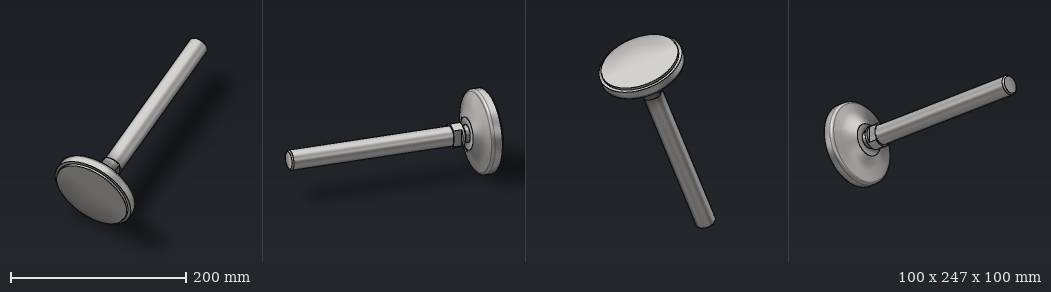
import cadquery as cq
import math

total_length = 247.0

foot_radius = 100.0 / 2
sole_radius = 92.5 / 2
sole_height = 3.0
rim_top = 11.9
shoulder_radius = 3.5
shoulder_end_angle = math.radians(79)
crown_radius = 19.3
crown_height = 26.2

neck_radius = 17.0 / 2
neck_base_radius = 10.5
neck_cone_top = 30.6
collar_radius = 28.0 / 2
collar_bottom = 33.5
flange_thickness = 3.0
across_flats = 20.0

stem_radius = 24.0 / 2
stem_bottom = 47.0
stem_chamfer = 1.7


def make_foot():
    """Revolved foot with a recessed sole, rounded shoulder and a concave flank tangent to it."""
    center_radius = foot_radius - shoulder_radius

    def shoulder_point(angle):
        return (
            center_radius + shoulder_radius * math.cos(angle),
            rim_top + shoulder_radius * math.sin(angle),
        )

    profile = (
        cq.Workplane("XY")
        .lineTo(sole_radius, 0)
        .lineTo(sole_radius, sole_height)
        .lineTo(foot_radius, sole_height)
        .lineTo(foot_radius, rim_top)
        .threePointArc(shoulder_point(shoulder_end_angle / 2), shoulder_point(shoulder_end_angle))
        .tangentArcPoint((crown_radius, crown_height), relative=False)
        .lineTo(0, crown_height)
        .close()
    )
    return profile.revolve(360, (0, 0, 0), (0, 1, 0))


def make_spindle():
    """Revolved conical neck, collar and chamfered stem."""
    profile = (
        cq.Workplane("XY")
        .moveTo(0, crown_height)
        .lineTo(neck_base_radius, crown_height)
        .lineTo(neck_radius, neck_cone_top)
        .lineTo(neck_radius, collar_bottom)
        .lineTo(collar_radius, collar_bottom)
        .lineTo(collar_radius, stem_bottom)
        .lineTo(stem_radius, stem_bottom)
        .lineTo(stem_radius, total_length - stem_chamfer)
        .lineTo(stem_radius - stem_chamfer, total_length)
        .lineTo(0, total_length)
        .close()
    )
    return profile.revolve(360, (0, 0, 0), (0, 1, 0))


def cut_wrench_flats(body):
    """Cut two opposite flats facing -X and +X, leaving the flange below them."""
    flats_bottom = collar_bottom + flange_thickness
    flats_length = stem_bottom - flats_bottom
    cut_depth = collar_radius - across_flats / 2
    for side in (-1, 1):
        cutter = cq.Workplane("XY").box(cut_depth, flats_length, 2 * collar_radius)
        cutter_x = side * (across_flats + cut_depth) / 2
        body = body.cut(cutter.translate((cutter_x, flats_bottom + flats_length / 2, 0)))
    return body


result = make_foot().union(cut_wrench_flats(make_spindle()))